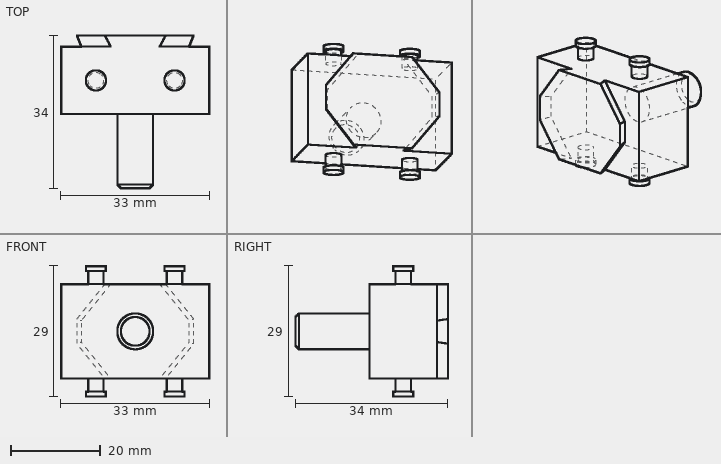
import cadquery as cq

BODY_X = 33.0
BODY_Y = 15.0
BODY_Z = 21.0

SHAFT_DIAMETER = 8.0
SHAFT_LENGTH = 16.5
SHAFT_CHAMFER = 0.8

PIN_SPACING = 17.5
PIN_DIAMETER = 3.5
PIN_HEAD_DIAMETER = 4.5
PIN_LENGTH = 4.0
PIN_HEAD_HEIGHT = 1.1

PAD_THICKNESS = 2.5
PAD_OUTER_HALF_X = 13.0
PAD_OUTER_FLAT_HALF_X = 6.75
PAD_OUTER_SIDE_HALF_Z = 2.75
PAD_BASE_HALF_X = 12.0
PAD_BASE_FLAT_HALF_X = 5.45
PAD_SLANT = (BODY_Z / 2 - PAD_OUTER_SIDE_HALF_Z) / (PAD_OUTER_HALF_X - PAD_OUTER_FLAT_HALF_X)
PAD_BASE_SIDE_HALF_Z = BODY_Z / 2 - PAD_SLANT * (PAD_BASE_HALF_X - PAD_BASE_FLAT_HALF_X)


def make_body():
    return cq.Workplane("XY").box(BODY_X, BODY_Y, BODY_Z).translate((0, BODY_Y / 2, 0))


def make_shaft():
    shaft = cq.Workplane("XZ").circle(SHAFT_DIAMETER / 2).extrude(SHAFT_LENGTH)
    return shaft.faces("<Y").chamfer(SHAFT_CHAMFER)


def make_pin(x, side):
    """Headed pin at x; side is +1 on the upper face and -1 on the lower face."""
    seat = cq.Workplane("XY", origin=(x, BODY_Y / 2, side * BODY_Z / 2))
    stem = seat.circle(PIN_DIAMETER / 2).extrude(side * PIN_LENGTH)
    head_start = seat.workplane(offset=side * (PIN_LENGTH - PIN_HEAD_HEIGHT))
    head = head_start.circle(PIN_HEAD_DIAMETER / 2).extrude(side * PIN_HEAD_HEIGHT)
    return stem.union(head)


def pad_outline(half_x, flat_half_x, side_half_z):
    """Corners of the pad's octagon, which spans the full body height."""
    half_z = BODY_Z / 2
    return [
        (half_x, -side_half_z),
        (half_x, side_half_z),
        (flat_half_x, half_z),
        (-flat_half_x, half_z),
        (-half_x, side_half_z),
        (-half_x, -side_half_z),
        (-flat_half_x, -half_z),
        (flat_half_x, -half_z),
    ]


def make_pad():
    base = pad_outline(PAD_BASE_HALF_X, PAD_BASE_FLAT_HALF_X, PAD_BASE_SIDE_HALF_Z)
    outer = pad_outline(PAD_OUTER_HALF_X, PAD_OUTER_FLAT_HALF_X, PAD_OUTER_SIDE_HALF_Z)
    base_wire = cq.Workplane("XZ", origin=(0, BODY_Y, 0)).polyline(base).close()
    return base_wire.workplane(offset=-PAD_THICKNESS).polyline(outer).close().loft(ruled=True)


result = make_body().union(make_shaft()).union(make_pad())
for pin_x in (-PIN_SPACING / 2, PIN_SPACING / 2):
    for pin_side in (1, -1):
        result = result.union(make_pin(pin_x, pin_side))